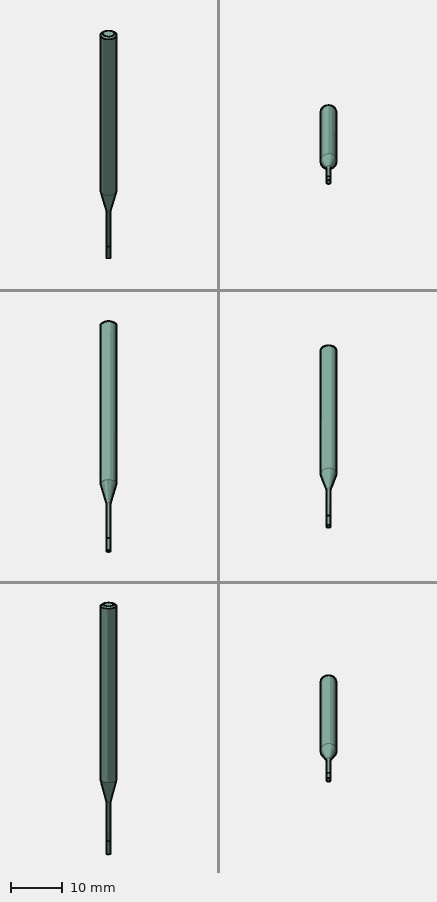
import cadquery as cq

total_length = 50.8
shank_diameter = 3.15
neck_diameter = 0.85
cutter_diameter = 0.8

cutter_length = 2.7
bevel_height = 0.15
neck_top = 10.6
taper_top = 15.1

chamfer_height = 0.35
chamfer_width = 0.45


def make_shank():
    """Chamfered shank that tapers to a slim neck, which is bevelled down to the cutter."""
    shank_radius = shank_diameter / 2
    neck_radius = neck_diameter / 2
    return (
        cq.Workplane("XZ")
        .moveTo(0, cutter_length)
        .lineTo(cutter_diameter / 2, cutter_length)
        .lineTo(neck_radius, cutter_length + bevel_height)
        .lineTo(neck_radius, neck_top)
        .lineTo(shank_radius, taper_top)
        .lineTo(shank_radius, total_length - chamfer_height)
        .lineTo(shank_radius - chamfer_width, total_length)
        .lineTo(0, total_length)
        .close()
        .revolve(360, (0, 0, 0), (0, 1, 0))
    )


def make_cutter():
    """Plain cylindrical cutting end, butted against the bevelled lower end of the neck."""
    return (
        cq.Workplane("XY")
        .circle(cutter_diameter / 2)
        .extrude(cutter_length)
    )


shank = make_shank()
cutter = make_cutter()

result = cq.Compound.makeCompound([shank.val(), cutter.val()])